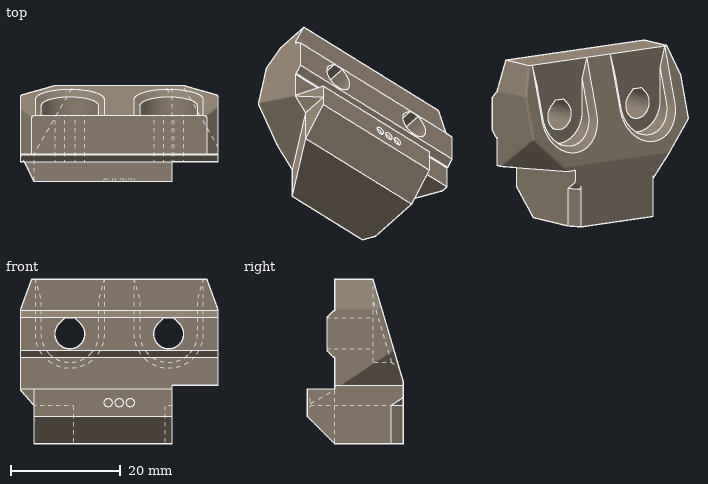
import cadquery as cq
import math


length = 36.0
height = 30.0
body_depth = 12.5
top_depth = 7.0
slope_start = 11.4
half_length = length / 2

end_bevel_width = 2.0
end_bevel_height = 5.5
undercut_inset = 2.45
undercut_top = 9.8
undercut_bottom = 7.0
lower_wall_angle = 30.0
edge_radius = 0.5

rail_depth = 1.45
rail_height = 8.5
rail_chamfer = 1.22

screw_height = 20.0
screw_spacing = 18.0
screw_radius = 2.7
screw_flat_height = 2.88
recess_radius = 5.22
recess_chamfer = 1.08

foot_depth = 5.0
foot_height = 10.0
foot_right = 9.6
step_height = 10.65

mark_diameter = 1.5
mark_spacing = 2.0
mark_height = 7.5
mark_depth = 0.5
mark_count = 3

margin = 21.6
clearance = 0.05


def extrude_along_x(points, x_start, x_end):
    """Prism along X from an outline of (y, z) points."""
    return cq.Workplane("YZ", origin=(x_start, 0, 0)).polyline(points).close().extrude(x_end - x_start)


def cutting_box(x_range, y_range, z_range):
    """Block between the given limits."""
    sizes = [limits[1] - limits[0] for limits in (x_range, y_range, z_range)]
    corner = (x_range[0], y_range[0], z_range[0])
    return cq.Workplane("XY").box(*sizes, centered=False).translate(corner)


def both_ends(left_tool):
    """The tool of the left end together with its mirror image."""
    return left_tool.union(left_tool.mirror("YZ"))


def end_bevel_tool():
    outline = [
        (-half_length, height - end_bevel_height),
        (-half_length + end_bevel_width, height),
        (-half_length, height),
    ]
    return cq.Workplane("XZ").polyline(outline).close().extrude(-body_depth)


def undercut_tool(wall_angle):
    """Space outside the lower wall and below the sloping undercut of the left end."""
    angle = math.radians(wall_angle)
    wall_direction = (math.sin(angle), math.cos(angle), 0)
    outward = (-math.cos(angle), math.sin(angle), 0)
    plane = cq.Plane(origin=(undercut_inset - half_length, 0, 0), xDir=outward, normal=wall_direction)
    rise = (undercut_top - undercut_bottom) / (undercut_inset * math.cos(angle))
    outline = [
        (0, -margin),
        (0, undercut_bottom),
        (margin, undercut_bottom + rise * margin),
        (margin, -margin),
    ]
    return cq.Workplane(plane).polyline(outline).close().extrude(margin, both=True)


def make_body():
    profile = [
        (0, 0),
        (body_depth, 0),
        (body_depth, slope_start),
        (top_depth, height),
        (0, height),
    ]
    body = extrude_along_x(profile, -half_length, half_length)
    behind_face = cutting_box((-length, length), (0, margin), (-margin, 2 * height))
    body = body.cut(both_ends(end_bevel_tool()))
    body = body.cut(both_ends(undercut_tool(lower_wall_angle).intersect(behind_face)))
    return round_end_edges(body)


def round_end_edges(body):
    """Round the edges around both ends, behind the front face and above the lower wall."""
    inner_x = half_length / 4
    low = undercut_bottom + clearance
    high = height - clearance
    left = cq.selectors.BoxSelector((-length, clearance, low), (-inner_x, body_depth + clearance, high))
    right = cq.selectors.BoxSelector((inner_x, clearance, low), (length, body_depth + clearance, high))
    return body.edges(left + right).fillet(edge_radius)


def make_rail():
    low = screw_height - rail_height / 2
    high = screw_height + rail_height / 2
    straight = rail_depth - rail_chamfer
    profile = [
        (0, low),
        (-straight, low),
        (-rail_depth, low + rail_chamfer),
        (-rail_depth, high - rail_chamfer),
        (-straight, high),
        (0, high),
    ]
    return extrude_along_x(profile, -half_length, half_length)


def make_foot():
    profile = [
        (0, 0),
        (-foot_depth, foot_depth),
        (-foot_depth, foot_height),
        (0, foot_height),
    ]
    foot = extrude_along_x(profile, -half_length, foot_right)
    corner = [
        (-half_length, 0),
        (-half_length + undercut_inset, -foot_depth),
        (-half_length, -foot_depth),
    ]
    foot = foot.cut(cq.Workplane("XY").polyline(corner).close().extrude(height))
    return foot.cut(undercut_tool(0))


def right_step_tool():
    """Space to the right of the foot, through the full depth."""
    return cutting_box((foot_right, length), (-margin, margin), (-margin, step_height))


def recess_tool():
    """Recess open to the sloping back and the top, with a chamfered rim.

    The slot runs right through a slab that extends past the top, so that its whole rim can be
    chamfered; the removed material is then kept only behind the flat recess floor.
    """
    lean = (body_depth - top_depth) / (height - slope_start)

    def slope_y(z):
        return top_depth + (height - z) * lean

    tall = height + margin
    slab = extrude_along_x(
        [(-margin, 0), (slope_y(0), 0), (slope_y(tall), tall), (-margin, tall)],
        -screw_spacing / 2,
        screw_spacing / 2,
    )
    slot = (
        cq.Workplane("XZ", origin=(0, -2 * margin, 0))
        .moveTo(-recess_radius, 2 * tall)
        .lineTo(-recess_radius, screw_height)
        .threePointArc((0, screw_height - recess_radius), (recess_radius, screw_height))
        .lineTo(recess_radius, 2 * tall)
        .close()
        .extrude(-4 * margin)
    )
    slope_normal = cq.Vector(0, 1, lean)
    rim = cq.selectors.DirectionMinMaxSelector(slope_normal, True)
    sides = cq.selectors.BoxSelector(
        (-recess_radius - clearance, -margin, clearance),
        (recess_radius + clearance, margin, tall - clearance),
    )
    slotted = slab.cut(slot).faces(rim).edges(sides).chamfer(recess_chamfer)
    behind_floor = cutting_box((-length, length), (top_depth, margin), (0, tall))
    return slab.cut(slotted).intersect(behind_floor)


def screw_hole_tool():
    """Round hole whose top runs at 45 degrees into a flat roof."""
    tangent = screw_radius * math.sqrt(0.5)
    roof_half_width = 2 * tangent - screw_flat_height
    return (
        cq.Workplane("XZ", origin=(0, -rail_depth, screw_height))
        .moveTo(-tangent, tangent)
        .threePointArc((0, -screw_radius), (tangent, tangent))
        .lineTo(roof_half_width, screw_flat_height)
        .lineTo(-roof_half_width, screw_flat_height)
        .close()
        .extrude(-(rail_depth + body_depth))
    )


def marks_tool():
    return (
        cq.Workplane("XZ", origin=(0, -foot_depth, mark_height))
        .rarray(mark_spacing, 0.35, mark_count, 1)
        .circle(mark_diameter / 2)
        .extrude(-mark_depth)
    )


result = make_body().cut(right_step_tool()).union(make_rail()).union(make_foot())
for screw_x in (-screw_spacing / 2, screw_spacing / 2):
    result = result.cut(recess_tool().translate((screw_x, 0, 0)))
    result = result.cut(screw_hole_tool().translate((screw_x, 0, 0)))
result = result.cut(marks_tool())